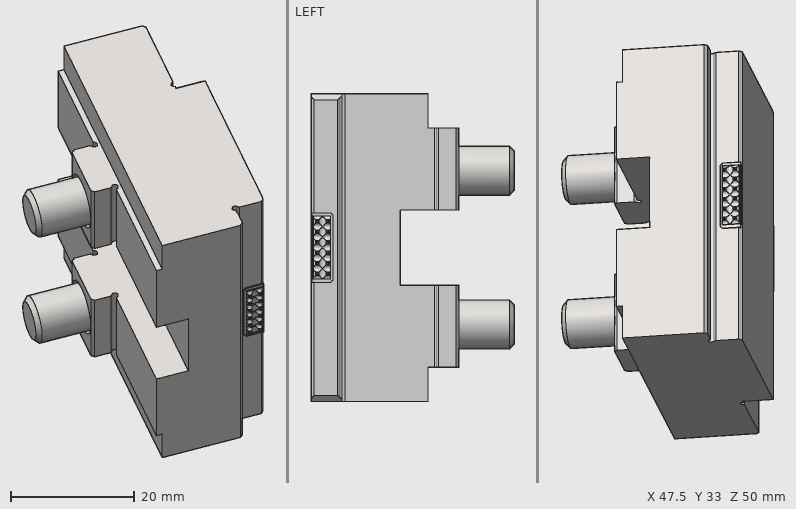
import cadquery as cq
import math

block_width = 47.5
block_height = 50.0
total_depth = 33.0

shoulder_depth = 5.0
step_depth = 19.0
pad_depth = 20.0
key_depth = 24.0
slot_floor_depth = 14.5

pad_bottom = 6.1
pad_top = 19.45
pad_height = pad_top - pad_bottom
pad_mid = (pad_bottom + pad_top) / 2

rail_left = -9.65
rail_width = 29.5
rail_right = rail_left + rail_width
rail_end_chamfer = 1.0

edge_chamfer = 0.5
relief_radius = 0.5
relief_length = 2.0

key_width = 10.0
key_centre = -1.25
pin_height = 12.5
pin_diameter = 8.0
pin_chamfer = 0.8
recess_diameter = 9.0
recess_depth = 1.0

contact_pitch = 1.7
contact_columns = 6
contact_rows = 2
connector_centre = -1.85
plate_size = (3.4, 11.3)
plate_height = 0.4
plate_corner_chamfer = 0.4
contact_block_size = (2.6, 10.2)
contact_block_height = 1.0
back_slope_run = 0.5
groove_radius = 0.6
groove_depth = 0.4
tip_diameter = 0.3
tip_height = 1.4
right_connector_inset = 0.2


def box(x_range, y_range, z_range):
    """Box given by its limits along each axis."""
    size = [high - low for low, high in (x_range, y_range, z_range)]
    corner = (x_range[0], y_range[0], z_range[0])
    return cq.Workplane("XY").box(*size, centered=False).translate(corner)


def corner_relief(x, y, x_direction, y_direction, z_range):
    """Round-ended 45 degree slot that relieves an inner corner; it opens along the given directions."""
    bottom, top = z_range
    shift = relief_length / 2 / math.sqrt(2)
    angle = 45 * x_direction * y_direction
    return (
        cq.Workplane("XY", origin=(0, 0, bottom))
        .center(x + x_direction * shift, y + y_direction * shift)
        .slot2D(relief_length + 2 * relief_radius, 2 * relief_radius, angle)
        .extrude(top - bottom)
    )


def make_body():
    """Main block with its chamfered rear shoulders and the two front pads."""
    half_width = block_width / 2
    half_height = block_height / 2
    body = box((-half_width, half_width), (-step_depth, -shoulder_depth), (-half_height, half_height))
    body = body.edges("|Z and >Y").chamfer(edge_chamfer)
    pads = box((-half_width, half_width), (-pad_depth, -step_depth), (-pad_top, pad_top))
    slot = box((-half_width, half_width), (-pad_depth, -slot_floor_depth), (-pad_bottom, pad_bottom))
    return body.union(pads).cut(slot)


def add_rail(body):
    """Back rail with chamfered rear edges, chamfered left ends and relieved corners."""
    half_height = block_height / 2
    rail = box((rail_left, rail_right), (-shoulder_depth, 0), (-half_height, half_height))
    rail = rail.edges("|Z and >Y").chamfer(edge_chamfer)
    end_wedge = (
        cq.Workplane("XZ")
        .moveTo(rail_left, half_height)
        .lineTo(rail_left + rail_end_chamfer, half_height)
        .lineTo(rail_left, half_height - rail_end_chamfer)
        .close()
        .extrude(shoulder_depth)
    )
    rail = rail.cut(end_wedge).cut(end_wedge.mirror("XY"))
    body = body.union(rail)
    for x, direction in ((rail_left, -1), (rail_right, 1)):
        relief = corner_relief(x, -shoulder_depth, direction, 1, (-half_height, half_height))
        body = body.cut(relief)
    return body


def add_key(body, side):
    """Relieved key on the upper (side 1) or lower (side -1) pad, with its pin in a shallow recess."""
    z_mid = side * pad_mid
    z_range = (z_mid - pad_height / 2, z_mid + pad_height / 2)
    key_left = key_centre - key_width / 2
    key_right = key_centre + key_width / 2
    key = box((key_left, key_right), (-key_depth, -pad_depth), z_range)
    key = key.edges("|Z and <Y").chamfer(edge_chamfer)
    body = body.union(key)
    for x, direction in ((key_left, -1), (key_right, 1)):
        body = body.cut(corner_relief(x, -pad_depth, direction, -1, z_range))

    recess_floor = key_depth - recess_depth
    axis_plane = cq.Workplane("XZ", origin=(key_centre, -recess_floor, side * pin_height))
    recess = axis_plane.circle(recess_diameter / 2).extrude(recess_depth)
    pin = axis_plane.circle(pin_diameter / 2).extrude(total_depth - recess_floor)
    pin = pin.faces("<Y").chamfer(pin_chamfer)
    return body.cut(recess).union(pin)


def groove_positions(count):
    """Groove centres beside and between a line of contacts."""
    return [(i - count / 2) * contact_pitch for i in range(count + 1)]


def contact_positions(count):
    """Contact centres, one between each pair of neighbouring grooves."""
    return [(i - (count - 1) / 2) * contact_pitch for i in range(count)]


def make_connector():
    """Connector on the YZ plane at the origin, with its contacts pointing along +X."""
    plate = cq.Workplane("YZ").rect(*plate_size).extrude(plate_height)
    plate = plate.edges("|X and <Y").chamfer(plate_corner_chamfer)

    block_y, block_z = contact_block_size
    block = (
        cq.Workplane("XY", origin=(0, 0, -block_z / 2))
        .moveTo(0, -block_y / 2)
        .lineTo(contact_block_height, -block_y / 2)
        .lineTo(contact_block_height, block_y / 2)
        .lineTo(0, block_y / 2 + back_slope_run)
        .close()
        .extrude(block_z)
    )

    groove_x = contact_block_height - groove_depth + groove_radius
    across = [(groove_x, z) for z in groove_positions(contact_columns)]
    along = [(groove_x, y) for y in groove_positions(contact_rows)]
    across_grooves = cq.Workplane("XZ").pushPoints(across).circle(groove_radius).extrude(block_y, both=True)
    along_grooves = cq.Workplane("XY").pushPoints(along).circle(groove_radius).extrude(block_z, both=True)
    block = block.cut(across_grooves).cut(along_grooves)

    centres = [(y, z) for y in contact_positions(contact_rows) for z in contact_positions(contact_columns)]
    tips = cq.Workplane("YZ").pushPoints(centres).circle(tip_diameter / 2).extrude(tip_height)
    return plate.union(block).union(tips)


def add_connectors(body):
    """One connector on each side wall of the rail."""
    connector = make_connector()
    left = connector.mirror("YZ").translate((rail_left, connector_centre, 0))
    right = connector.translate((rail_right - right_connector_inset, connector_centre, 0))
    return body.union(left).union(right)


result = add_rail(make_body())
for pad_side in (-1, 1):
    result = add_key(result, pad_side)
result = add_connectors(result)